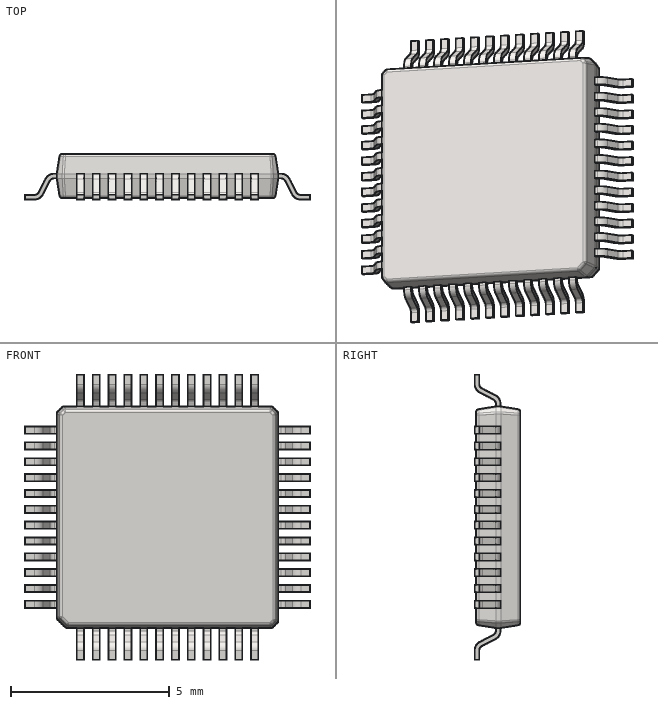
import cadquery as cq
import math

overall_span = 9.0
overall_height = 1.45

body_side = 7.0
standoff = 0.045
body_draft = 9.0
edge_fillet = 0.1
corner_chamfer = 0.2
pin_one_chamfer = 0.3

leads_per_side = 12
lead_row_length = 5.5
lead_width = 0.23
lead_thickness = 0.15
lead_slope = 63.0
inner_bend_radius = 0.15
foot_length = 0.3
embedded_length = 0.18

half_side = body_side / 2
half_span = overall_span / 2
body_middle = (standoff + overall_height) / 2
half_height = (overall_height - standoff) / 2
lead_pitch = lead_row_length / (leads_per_side - 1)
half_band = lead_thickness / 2


def corner_points():
    """Body outline in X, Z: each corner is replaced by a chamfer edge."""
    points = []
    for x_sign, z_sign in [(-1, -1), (1, -1), (1, 1), (-1, 1)]:
        chamfer = pin_one_chamfer if x_sign + z_sign == -2 else corner_chamfer
        short = half_side - chamfer
        pair = [(x_sign * half_side, z_sign * short), (x_sign * short, z_sign * half_side)]
        points += pair if x_sign == z_sign else pair[::-1]
    return points


def body_prism(level, height, taper=0.0):
    """Prism on the body outline, starting at the given Y level; a negative height grows towards -Y."""
    start = cq.Workplane("XZ", origin=(0, level, 0))
    return start.polyline(corner_points()).close().extrude(-height, taper=taper)


def make_body():
    """Straight middle band with a drafted half on either side, all outer edges rounded."""
    band_top = body_middle + half_band
    band_bottom = body_middle - half_band
    half_rise = half_height - half_band

    body = body_prism(band_bottom, lead_thickness)
    body = body.union(body_prism(band_top, half_rise, body_draft))
    body = body.union(body_prism(band_bottom, -half_rise, body_draft))

    corner_edges = body.edges("not #Y")
    rim_edges = body.faces("<Y or >Y").edges()
    return corner_edges.add(rim_edges).fillet(edge_fillet)


def make_lead():
    """One lead on the -Z side at X = 0: a strip with two mitred bends, which are then rounded."""
    slope = math.radians(lead_slope)
    outer_bend_radius = inner_bend_radius + lead_thickness
    miter = half_band * math.tan(slope / 2)

    foot_level = half_band
    foot_corner = -half_span + foot_length + outer_bend_radius * math.tan(slope / 2) - miter
    shoulder_corner = foot_corner + (body_middle - foot_level) / math.tan(slope)
    buried_end = -half_side + embedded_length

    foot_inner = (lead_thickness, foot_corner - miter)
    foot_outer = (0, foot_corner + miter)
    shoulder_outer = (body_middle + half_band, shoulder_corner - miter)
    shoulder_inner = (body_middle - half_band, shoulder_corner + miter)
    profile = [
        (0, -half_span),
        (lead_thickness, -half_span),
        foot_inner,
        shoulder_outer,
        (body_middle + half_band, buried_end),
        (body_middle - half_band, buried_end),
        shoulder_inner,
        foot_outer,
    ]
    lead = cq.Workplane("YZ").polyline(profile).close().extrude(lead_width / 2, both=True)

    bends = [
        (foot_inner, inner_bend_radius),
        (shoulder_inner, inner_bend_radius),
        (foot_outer, outer_bend_radius),
        (shoulder_outer, outer_bend_radius),
    ]
    for (y, z), radius in bends:
        lead = lead.edges(cq.NearestToPointSelector((0, y, z))).fillet(radius)
    return lead


def make_part():
    lead = make_lead()
    part = make_body()
    for side in range(4):
        for index in range(leads_per_side):
            offset = index * lead_pitch - lead_row_length / 2
            placed = lead.translate((offset, 0, 0)).rotate((0, 0, 0), (0, 1, 0), 90 * side)
            part = part.union(placed)
    return part


result = make_part()